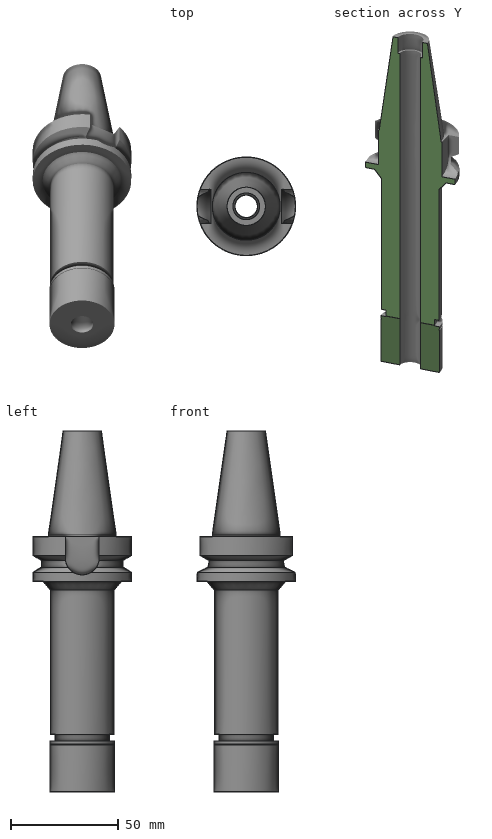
import cadquery as cq

total_height = 168.4

taper_length = 48.3
taper_top_radius = 9.0
taper_base_radius = 15.8
pilot_height = 1.0
bore_radius = 5.2
socket_radius = 6.2
socket_depth = 7.9

flange_diameter = 46.0
flange_radius = flange_diameter / 2
upper_rim_height = 8.8
groove_radius = 19.0
groove_flank_height = 2.4
groove_floor_height = 3.2
lower_rim_height = 4.2
under_cone_radius = 18.4
under_cone_height = 4.0

slot_width = 15.8
slot_floor_offset = 16.3
slot_depth = 17.9
slot_overrun = 1.7

body_radius = 14.8
neck_radius = 12.6
neck_height = 3.0
nut_height = 23.7
nut_radius = 15.2
nut_collar_height = 1.7
nut_groove_height = 0.5
nut_groove_depth = 0.25

pilot_top = total_height - taper_length
flange_top = pilot_top - pilot_height
groove_top = flange_top - upper_rim_height
groove_floor_top = groove_top - groove_flank_height
groove_floor_bottom = groove_floor_top - groove_floor_height
groove_bottom = groove_floor_bottom - groove_flank_height
flange_bottom = groove_bottom - lower_rim_height
body_top = flange_bottom - under_cone_height
neck_top = nut_height + neck_height


def make_slot(side):
    """Round-bottomed drive slot; side is -1 for -X and +1 for +X."""
    radius = slot_width / 2
    slot_bottom = flange_top - slot_depth
    center_z = slot_bottom + radius
    return (
        cq.Workplane("YZ", origin=(side * slot_floor_offset, 0, 0))
        .moveTo(-radius, flange_top)
        .lineTo(-radius, center_z)
        .threePointArc((0, slot_bottom), (radius, center_z))
        .lineTo(radius, flange_top)
        .close()
        .extrude(side * (flange_radius - slot_floor_offset + slot_overrun))
    )


def make_holder():
    """Tool holder: hollow turned profile with two drive slots."""
    socket_bottom = total_height - socket_depth
    profile = [
        (bore_radius, nut_height),
        (neck_radius, nut_height),
        (neck_radius, neck_top),
        (body_radius, neck_top),
        (body_radius, body_top),
        (under_cone_radius, flange_bottom),
        (flange_radius, flange_bottom),
        (flange_radius, groove_bottom),
        (groove_radius, groove_floor_bottom),
        (groove_radius, groove_floor_top),
        (flange_radius, groove_top),
        (flange_radius, flange_top),
        (taper_base_radius, flange_top),
        (taper_base_radius, pilot_top),
        (taper_top_radius, total_height),
        (socket_radius, total_height),
        (socket_radius, socket_bottom),
        (bore_radius, socket_bottom),
    ]
    holder = cq.Workplane("XZ").polyline(profile).close().revolve(360, (0, 0), (0, 1))
    for side in (-1, 1):
        holder = holder.cut(make_slot(side))
    return holder


def make_nut():
    """Clamping nut: ring with a fine groove below its top collar."""
    groove_upper = nut_height - nut_collar_height + nut_groove_height / 2
    groove_lower = groove_upper - nut_groove_height
    profile = [
        (bore_radius, 0),
        (nut_radius, 0),
        (nut_radius, groove_lower),
        (nut_radius - nut_groove_depth, groove_lower),
        (nut_radius - nut_groove_depth, groove_upper),
        (nut_radius, groove_upper),
        (nut_radius, nut_height),
        (bore_radius, nut_height),
    ]
    return cq.Workplane("XZ").polyline(profile).close().revolve(360, (0, 0), (0, 1))


holder = make_holder()
nut = make_nut()

result = cq.Compound.makeCompound([holder.val(), nut.val()])